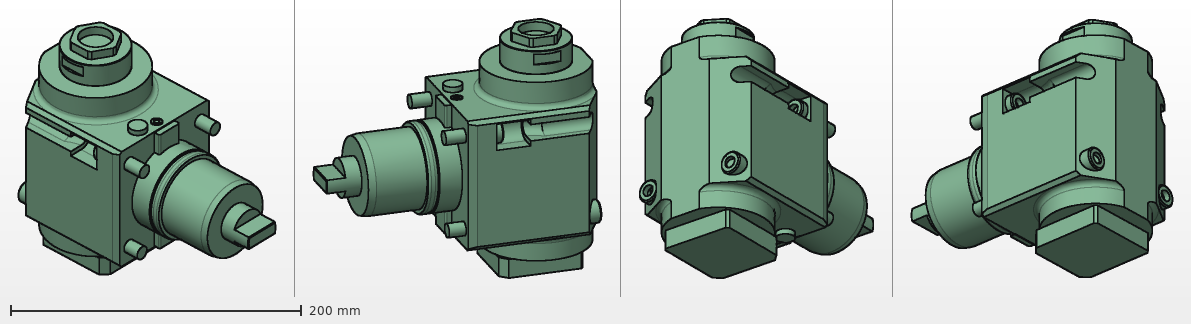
import cadquery as cq
import math


FRONT_X = -37.0
REAR_X = 65.0
HALF_WIDTH = 46.0
HALF_HEIGHT = 48.0
FRONT_HALF_WIDTH = 21.0
FRONT_BEVEL_ANGLE = 30.0
EDGE_CHAMFER = 3.0
REAR_RELIEF_LENGTH = 6.0
REAR_RELIEF_DEPTH = 1.2

BOSS_RADIUS = 39.0
BOSS_FILLET = 4.0
UPPER_BOSS_Z = 67.5
LOWER_BOSS_Z = -65.0

NUT_RADIUS = 25.0
NUT_TOP_Z = 85.0
NUT_CHAMFER = 0.4
NUT_FLAT_Y = 23.0
NUT_FLAT_BOTTOM_Z = 75.0
NUT_FLAT_TOP_Z = 82.5
HEX_ACROSS_FLATS = 32.5
HEX_CORNER_RADIUS = 18.0
HEX_TOP_Z = 91.53
BORE_RADIUS = 12.2

FOOT_FRONT_X = -25.0
FOOT_REAR_X = 35.0
FOOT_HALF_WIDTH = 28.0
FOOT_BOTTOM_Z = -79.0
FOOT_FRONT_CHAMFER = 2.0
FOOT_REAR_CHAMFER = 5.4

COLLAR_RADIUS = 32.5
COLLAR_END_X = 89.5
COLLAR_FRONT_ROUND_LENGTH = 2.6
COLLAR_REAR_ROUND_LENGTH = 1.8
COLLAR_ROUND_DROP = 0.8
GROOVE_START_X = 81.4
GROOVE_WIDTH = 0.8
GROOVE_DEPTH = 1.0
SHANK_RADIUS = 28.85
SHANK_TAPER_X = 126.5
SHANK_END_X = 131.8
SHANK_END_RADIUS = 27.8
DRIVE_RADIUS = 14.0
DRIVE_SHOULDER_X = 143.4
DRIVE_END_X = 157.5
DRIVE_HALF_THICKNESS = 5.0
DRIVE_CHAMFER = 0.6

KEY_HALF_WIDTH = 10.0
KEY_HALF_HEIGHT = 47.5
KEY_END_X = 69.9
KEY_CORNER_RADIUS = 1.2

BOLT_Y = 35.5
BOLT_Z = 34.5
BOLT_RADIUS = 5.0
HEAD_RADIUS = 8.2
HEAD_CHAMFER = 1.0
SOCKET_RADIUS = 4.1
SOCKET_DEPTH = 4.7
DRILL_POINT_HALF_ANGLE = 59.0
LOWER_HEAD_X = -32.8
LOWER_BOLT_END_X = 77.3
UPPER_HEAD_X = 38.5
UPPER_BOLT_END_X = 79.6

CHANNEL_RADIUS = 6.1
CHANNEL_Y = 40.0
CHANNEL_BEND_X = 7.6
CHANNEL_BEND_MIDDLE_X = 15.8
CHANNEL_BEND_MIDDLE_Y = 36.4
POCKET_RADIUS = 9.7
POCKET_START_X = 19.9
POCKET_END_X = 44.6

PLUG_X = 55.0
PLUG_Y = -16.1
PLUG_RADIUS = 6.75
PLUG_HEIGHT = 4.0
NOZZLE_X = 57.7
NOZZLE_RADIUS = 4.2
NOZZLE_HEIGHT = 0.5
NOZZLE_CHAMFER = 0.4
NOZZLE_BORE_RADIUS = 2.1
NOZZLE_BORE_DEPTH = 0.5


def x_cylinder(radius, start_x, end_x, y=0, z=0):
    return cq.Workplane("YZ", origin=(start_x, y, z)).circle(radius).extrude(end_x - start_x)


def z_cylinder(radius, start_z, end_z, x=0, y=0):
    return cq.Workplane("XY", origin=(x, y, start_z)).circle(radius).extrude(end_z - start_z)


def box(x_range, y_range, z_range):
    sizes = [high - low for low, high in (x_range, y_range, z_range)]
    return cq.Workplane("XY", origin=(x_range[0], y_range[0], z_range[0])).box(*sizes, centered=False)


def plan_prism(bottom_z, top_z):
    """Prism over the housing's plan outline, bevelled at the front and relieved at the rear."""
    bevel_run = (HALF_WIDTH - FRONT_HALF_WIDTH) * math.tan(math.radians(FRONT_BEVEL_ANGLE))
    half_outline = [
        (FRONT_X, FRONT_HALF_WIDTH),
        (FRONT_X + bevel_run, HALF_WIDTH),
        (REAR_X - REAR_RELIEF_LENGTH, HALF_WIDTH),
        (REAR_X, HALF_WIDTH - REAR_RELIEF_DEPTH),
    ]
    mirrored = [(x, -y) for x, y in reversed(half_outline)]
    outline = cq.Workplane("XY", origin=(0, 0, bottom_z)).polyline(half_outline + mirrored)
    return outline.close().extrude(top_z - bottom_z)


def make_block():
    envelope = box((FRONT_X, REAR_X), (-HALF_WIDTH, HALF_WIDTH), (-HALF_HEIGHT, HALF_HEIGHT))
    envelope = envelope.edges("|X").chamfer(EDGE_CHAMFER)
    return envelope.intersect(plan_prism(-HALF_HEIGHT, HALF_HEIGHT))


def make_bosses():
    """Round bosses flared into the block and trimmed to its plan outline."""
    flare_radius = BOSS_RADIUS + BOSS_FILLET
    flare_z = HALF_HEIGHT + BOSS_FILLET
    arc_offset = BOSS_FILLET * (1 - math.sqrt(0.5))
    profile = (
        cq.Workplane("XZ")
        .moveTo(0, LOWER_BOSS_Z)
        .lineTo(BOSS_RADIUS, LOWER_BOSS_Z)
        .lineTo(BOSS_RADIUS, -flare_z)
        .threePointArc((BOSS_RADIUS + arc_offset, -HALF_HEIGHT - arc_offset), (flare_radius, -HALF_HEIGHT))
        .lineTo(flare_radius, HALF_HEIGHT)
        .threePointArc((BOSS_RADIUS + arc_offset, HALF_HEIGHT + arc_offset), (BOSS_RADIUS, flare_z))
        .lineTo(BOSS_RADIUS, UPPER_BOSS_Z)
        .lineTo(0, UPPER_BOSS_Z)
        .close()
    )
    bosses = profile.revolve(360, (0, 0, 0), (0, 1, 0))
    return bosses.intersect(plan_prism(LOWER_BOSS_Z, UPPER_BOSS_Z))


def make_nut():
    nut = z_cylinder(NUT_RADIUS, UPPER_BOSS_Z, NUT_TOP_Z).faces("<Z or >Z").chamfer(NUT_CHAMFER)
    for near_y, far_y in ((NUT_FLAT_Y, NUT_RADIUS), (-NUT_RADIUS, -NUT_FLAT_Y)):
        flat = box((-NUT_RADIUS, NUT_RADIUS), (near_y, far_y), (NUT_FLAT_BOTTOM_Z, NUT_FLAT_TOP_Z))
        nut = nut.cut(flat)
    across_corners = HEX_ACROSS_FLATS / math.cos(math.radians(30))
    hexagon = (
        cq.Workplane("XY", origin=(0, 0, NUT_TOP_Z))
        .polygon(6, across_corners)
        .extrude(HEX_TOP_Z - NUT_TOP_Z)
        .intersect(z_cylinder(HEX_CORNER_RADIUS, NUT_TOP_Z, HEX_TOP_Z))
    )
    return nut.union(hexagon).cut(z_cylinder(BORE_RADIUS, NUT_TOP_Z, HEX_TOP_Z))


def make_foot():
    foot = box(
        (FOOT_FRONT_X, FOOT_REAR_X),
        (-FOOT_HALF_WIDTH, FOOT_HALF_WIDTH),
        (FOOT_BOTTOM_Z, LOWER_BOSS_Z),
    )
    foot = foot.edges("|Z and <X").chamfer(FOOT_FRONT_CHAMFER)
    return foot.edges("|Z and >X").chamfer(FOOT_REAR_CHAMFER)


def tangent_radius(length, drop):
    """Radius of an arc that leaves a surface tangentially and falls by drop over length."""
    return (length**2 + drop**2) / (2 * drop)


def make_shank():
    groove_end_x = GROOVE_START_X + GROOVE_WIDTH
    groove_radius = COLLAR_RADIUS - GROOVE_DEPTH
    rim_radius = COLLAR_RADIUS - COLLAR_ROUND_DROP
    shank = (
        cq.Workplane("XY")
        .moveTo(REAR_X, 0)
        .lineTo(REAR_X, COLLAR_RADIUS)
        .lineTo(GROOVE_START_X, COLLAR_RADIUS)
        .lineTo(GROOVE_START_X, groove_radius)
        .lineTo(groove_end_x, groove_radius)
        .lineTo(groove_end_x, rim_radius)
        .radiusArc(
            (groove_end_x + COLLAR_FRONT_ROUND_LENGTH, COLLAR_RADIUS),
            tangent_radius(COLLAR_FRONT_ROUND_LENGTH, COLLAR_ROUND_DROP),
        )
        .lineTo(COLLAR_END_X - COLLAR_REAR_ROUND_LENGTH, COLLAR_RADIUS)
        .radiusArc(
            (COLLAR_END_X, rim_radius),
            tangent_radius(COLLAR_REAR_ROUND_LENGTH, COLLAR_ROUND_DROP),
        )
        .lineTo(COLLAR_END_X, SHANK_RADIUS)
        .lineTo(SHANK_TAPER_X, SHANK_RADIUS)
        .lineTo(SHANK_END_X, SHANK_END_RADIUS)
        .lineTo(SHANK_END_X, 0)
        .close()
        .revolve(360, (0, 0, 0), (1, 0, 0))
    )
    journal = x_cylinder(DRIVE_RADIUS, SHANK_END_X, DRIVE_SHOULDER_X)
    tang_blank = x_cylinder(DRIVE_RADIUS, DRIVE_SHOULDER_X, DRIVE_END_X)
    tang = tang_blank.intersect(
        box(
            (DRIVE_SHOULDER_X, DRIVE_END_X),
            (-DRIVE_RADIUS, DRIVE_RADIUS),
            (-DRIVE_HALF_THICKNESS, DRIVE_HALF_THICKNESS),
        )
    )
    tang = tang.faces(">X").chamfer(DRIVE_CHAMFER)
    return shank.union(journal).union(tang)


def make_key():
    key = box(
        (REAR_X, KEY_END_X),
        (-KEY_HALF_WIDTH, KEY_HALF_WIDTH),
        (-KEY_HALF_HEIGHT, KEY_HALF_HEIGHT),
    )
    return key.edges("|Z and >X").fillet(KEY_CORNER_RADIUS)


def channel_section(x, axis_y, radius):
    """Section at x: a round bottom towards the middle, open to the +Y side of the block."""
    return (
        cq.Workplane("YZ", origin=(x, 0, BOLT_Z))
        .moveTo(HALF_WIDTH, -radius)
        .lineTo(axis_y, -radius)
        .threePointArc((axis_y - radius, 0), (axis_y, radius))
        .lineTo(HALF_WIDTH, radius)
        .close()
    )


def make_bolt_access():
    """Cutter on the +Y side: straight channel, bend towards the bolt axis, then the head pocket."""
    straight = channel_section(FRONT_X, CHANNEL_Y, CHANNEL_RADIUS).extrude(CHANNEL_BEND_X - FRONT_X)
    bend_path = [
        (CHANNEL_BEND_X, CHANNEL_Y),
        (CHANNEL_BEND_MIDDLE_X, CHANNEL_BEND_MIDDLE_Y),
        (POCKET_START_X, BOLT_Y),
    ]
    bend_sections = [channel_section(x, axis_y, CHANNEL_RADIUS).val() for x, axis_y in bend_path]
    bend = cq.Workplane(cq.Solid.makeLoft(bend_sections))
    pocket = channel_section(POCKET_START_X, BOLT_Y, POCKET_RADIUS)
    pocket = pocket.extrude(POCKET_END_X - POCKET_START_X)
    return straight.union(bend).union(pocket)


def make_bolt(head_x, seat_x, end_x, y, z):
    head = x_cylinder(HEAD_RADIUS, head_x, seat_x, y, z).faces("<X").chamfer(HEAD_CHAMFER)
    return head.union(x_cylinder(BOLT_RADIUS, seat_x, end_x, y, z))


def make_socket(head_x, y, z):
    """Cutter for a bolt's round socket, ending in a drill point."""
    point_depth = SOCKET_RADIUS / math.tan(math.radians(DRILL_POINT_HALF_ANGLE))
    profile = [
        (0, 0),
        (0, SOCKET_RADIUS),
        (SOCKET_DEPTH, SOCKET_RADIUS),
        (SOCKET_DEPTH + point_depth, 0),
    ]
    socket = cq.Workplane("XY", origin=(head_x, y, z)).polyline(profile).close()
    return socket.revolve(360, (0, 0, 0), (1, 0, 0))


def make_nozzle():
    nozzle = z_cylinder(NOZZLE_RADIUS, HALF_HEIGHT, HALF_HEIGHT + NOZZLE_HEIGHT, NOZZLE_X)
    return nozzle.faces(">Z").chamfer(NOZZLE_CHAMFER)


def make_housing():
    housing = make_block().union(make_bosses())
    access = make_bolt_access()
    return housing.cut(access).cut(access.mirror("XZ"))


result = make_housing()
for feature in (make_nut(), make_foot(), make_shank(), make_key(), make_nozzle()):
    result = result.union(feature)

nozzle_top_z = HALF_HEIGHT + NOZZLE_HEIGHT
result = result.cut(z_cylinder(NOZZLE_BORE_RADIUS, nozzle_top_z - NOZZLE_BORE_DEPTH, nozzle_top_z, NOZZLE_X))

plug_end_z = HALF_HEIGHT + PLUG_HEIGHT
result = result.union(z_cylinder(PLUG_RADIUS, HALF_HEIGHT, plug_end_z, PLUG_X, PLUG_Y))
result = result.union(z_cylinder(PLUG_RADIUS, -plug_end_z, -HALF_HEIGHT, PLUG_X, PLUG_Y))

for bolt_y in (-BOLT_Y, BOLT_Y):
    upper_bolt = make_bolt(UPPER_HEAD_X, POCKET_END_X, UPPER_BOLT_END_X, bolt_y, BOLT_Z)
    upper_socket = make_socket(UPPER_HEAD_X, bolt_y, BOLT_Z)
    result = result.union(upper_bolt).cut(upper_socket)

    lower_bolt = make_bolt(LOWER_HEAD_X, REAR_X, LOWER_BOLT_END_X, bolt_y, -BOLT_Z)
    lower_socket = make_socket(LOWER_HEAD_X, bolt_y, -BOLT_Z)
    result = result.union(lower_bolt.cut(lower_socket))